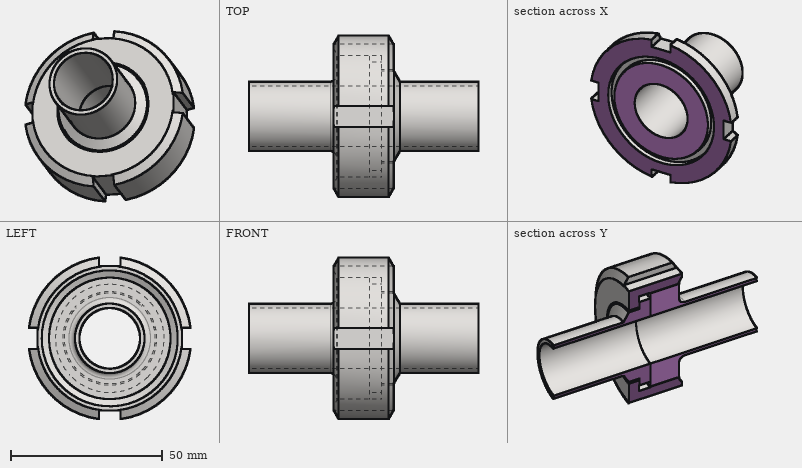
import cadquery as cq
import math

TOTAL_LENGTH = 76.0

TUBE_OUTER_RADIUS = 23.0 / 2
TUBE_BORE_RADIUS = 20.0 / 2

NUT_OUTER_RADIUS = 27.0
NUT_LENGTH = 20.0
NUT_START = 28.0
NUT_END = NUT_START + NUT_LENGTH
NUT_FACE_RADIUS = 23.95
NUT_CHAMFER_ANGLE = 30.0
CHAMFER_SLOPE = math.tan(math.radians(NUT_CHAMFER_ANGLE))
NUT_CHAMFER_LENGTH = (NUT_OUTER_RADIUS - NUT_FACE_RADIUS) * CHAMFER_SLOPE
NUT_BORE_RADIUS = 40.2 / 2
NUT_MOUTH_RADIUS = 22.5
NUT_MOUTH_DEPTH = (NUT_MOUTH_RADIUS - NUT_BORE_RADIUS) * CHAMFER_SLOPE
NUT_LIP_THICKNESS = 4.0
NUT_LIP_BORE_RADIUS = 31.0 / 2
NUT_LIP_FACE = NUT_END - NUT_LIP_THICKNESS
SLOT_COUNT = 4
SLOT_WIDTH = 7.0
SLOT_FLOOR_RADIUS = NUT_FACE_RADIUS

COLLAR_RADIUS = 35.9 / 2
COLLAR_THICKNESS = 4.0
COLLAR_START = NUT_LIP_FACE - COLLAR_THICKNESS
HUB_RADIUS = 30.0 / 2
HUB_CONE_ANGLE = 60.0
HUB_CONE_LENGTH = (HUB_RADIUS - TUBE_OUTER_RADIUS) / math.tan(math.radians(HUB_CONE_ANGLE))

FLANGE_RADIUS = NUT_BORE_RADIUS
FLANGE_RECESS = 1.0
FLANGE_START = NUT_START + FLANGE_RECESS
ROOT_FILLET_RADIUS = 2.0


def revolve_about_x(profile):
    """Turn a closed (X, radius) profile around the X axis."""
    return profile.close().revolve(360, (0, 0, 0), (1, 0, 0))


def make_spigot():
    """Left tube with a filleted flange that ends against the liner collar."""
    fillet_start = FLANGE_START - ROOT_FILLET_RADIUS
    fillet_outer_radius = TUBE_OUTER_RADIUS + ROOT_FILLET_RADIUS
    fillet_middle = (
        fillet_start + ROOT_FILLET_RADIUS * math.sin(math.pi / 4),
        fillet_outer_radius - ROOT_FILLET_RADIUS * math.cos(math.pi / 4),
    )
    profile = (
        cq.Workplane("XY")
        .moveTo(0, TUBE_BORE_RADIUS)
        .lineTo(0, TUBE_OUTER_RADIUS)
        .lineTo(fillet_start, TUBE_OUTER_RADIUS)
        .threePointArc(fillet_middle, (FLANGE_START, fillet_outer_radius))
        .lineTo(FLANGE_START, FLANGE_RADIUS)
        .lineTo(COLLAR_START, FLANGE_RADIUS)
        .lineTo(COLLAR_START, TUBE_BORE_RADIUS)
    )
    return revolve_about_x(profile)


def make_liner():
    """Right tube with a conical hub and a collar behind the nut lip."""
    profile = (
        cq.Workplane("XY")
        .moveTo(COLLAR_START, TUBE_BORE_RADIUS)
        .lineTo(COLLAR_START, COLLAR_RADIUS)
        .lineTo(NUT_LIP_FACE, COLLAR_RADIUS)
        .lineTo(NUT_LIP_FACE, HUB_RADIUS)
        .lineTo(NUT_END, HUB_RADIUS)
        .lineTo(NUT_END + HUB_CONE_LENGTH, TUBE_OUTER_RADIUS)
        .lineTo(TOTAL_LENGTH, TUBE_OUTER_RADIUS)
        .lineTo(TOTAL_LENGTH, TUBE_BORE_RADIUS)
    )
    return revolve_about_x(profile)


def make_nut_slot(angle):
    """Full-length spanner slot, open outward, turned about X by the angle."""
    slot_height = NUT_OUTER_RADIUS
    slot = cq.Workplane("XY").box(NUT_LENGTH, SLOT_WIDTH, slot_height, centered=(False, True, False))
    slot = slot.translate((NUT_START, 0, SLOT_FLOOR_RADIUS))
    return slot.rotate((0, 0, 0), (1, 0, 0), angle)


def make_nut():
    """Chamfered ring with a countersunk bore, an end lip and spanner slots."""
    profile = (
        cq.Workplane("XY")
        .moveTo(NUT_START, NUT_MOUTH_RADIUS)
        .lineTo(NUT_START, NUT_FACE_RADIUS)
        .lineTo(NUT_START + NUT_CHAMFER_LENGTH, NUT_OUTER_RADIUS)
        .lineTo(NUT_END - NUT_CHAMFER_LENGTH, NUT_OUTER_RADIUS)
        .lineTo(NUT_END, NUT_FACE_RADIUS)
        .lineTo(NUT_END, NUT_LIP_BORE_RADIUS)
        .lineTo(NUT_LIP_FACE, NUT_LIP_BORE_RADIUS)
        .lineTo(NUT_LIP_FACE, NUT_BORE_RADIUS)
        .lineTo(NUT_START + NUT_MOUTH_DEPTH, NUT_BORE_RADIUS)
    )
    nut = revolve_about_x(profile)
    for index in range(SLOT_COUNT):
        nut = nut.cut(make_nut_slot(index * 360 / SLOT_COUNT))
    return nut


spigot = make_spigot()
liner = make_liner()
nut = make_nut()

result = cq.Compound.makeCompound([spigot.val(), liner.val(), nut.val()])